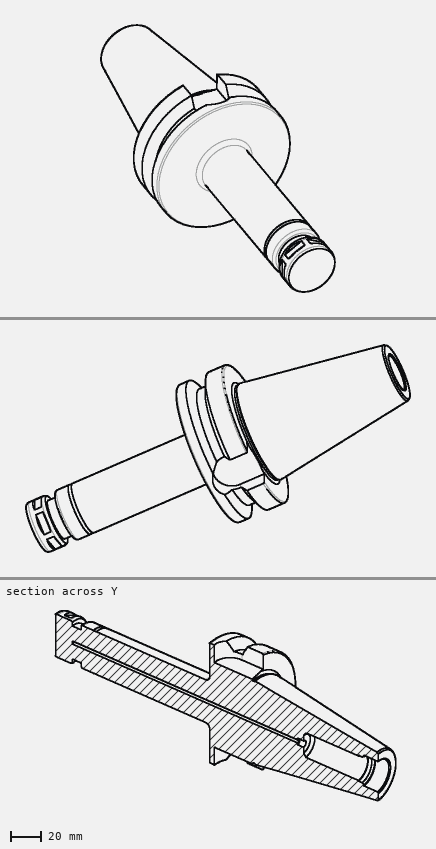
import cadquery as cq


gauge_diameter = 69.85
taper_ratio = 7 / 24
taper_length = 101.8
taper_end_chamfer_length = 1.2
taper_end_chamfer_depth = 0.7
shank_x = -taper_length
shank_end_radius = (gauge_diameter - taper_ratio * taper_length) / 2

relief_radius = 34.3
relief_step_length = 0.6
relief_cone_radius = 36.7
relief_cone_start_x = 2.0

flange_radius = 50.0
flange_front_x = 3.0
flange_back_x = 38.0
flange_edge_fillet = 1.0
vee_radius = 42.2
vee_start_x = 15.9
vee_bottom_start_x = 20.0
vee_bottom_end_x = 26.3
vee_end_x = 30.4

slot_width = 25.7
slot_end_x = 33.7
slot_floor_z = 35.4

bar_radius = 18.0
bar_fillet = 3.0
mark_radius = 17.9
mark_start_x = 131.0
mark_end_x = 133.4
bar_end_x = 143.9
bar_end_fillet = 1.8
neck_radius = 14.0

nut_radius = 18.0
nut_start_x = 150.7
nut_end_x = 165.0
nut_back_round_length = 2.4
nut_back_round_depth = 0.9
nut_front_round_length = 2.2
nut_front_round_depth = 0.7
pocket_count = 6
pocket_margin = 0.1
pocket_start_x = nut_start_x + nut_back_round_length + pocket_margin
pocket_end_x = 159.6
pocket_wall_run = 0.7
pocket_floor_radius = 16.5

mouth_radius = 13.3
mouth_chamfer = 0.8
counterbore_radius = mouth_radius - mouth_chamfer
counterbore_depth = 12.0
ledge_radius = 11.75
entry_radius = 10.5
entry_length = 3.0
bore_radius = 10.0
entry_lead = 1.5
bore_depth = 60.0
bore_cone_depth = 1.8
floor_radius = 7.25
socket_radius = 2.5
socket_depth = 5.0
coolant_radius = 1.0


def revolve_profile(profile):
    """Revolve a closed (x, radius) wire around the X axis."""
    return profile.close().revolve(360, (0, 0, 0), (1, 0, 0))


def tangent_arc_radius(length, depth):
    """Radius of an arc that leaves a cylinder tangentially and drops by depth over length."""
    return (length**2 + depth**2) / (2 * depth)


def make_body():
    """Taper, flange, bar and nut as one turned solid."""
    taper_start_x = shank_x + taper_end_chamfer_length
    nut_back_arc_radius = tangent_arc_radius(nut_back_round_length, nut_back_round_depth)
    nut_front_arc_radius = tangent_arc_radius(nut_front_round_length, nut_front_round_depth)
    flange_rim = flange_radius - flange_edge_fillet
    profile = (
        cq.Workplane("XY")
        .moveTo(shank_x, 0)
        .lineTo(shank_x, shank_end_radius - taper_end_chamfer_depth)
        .lineTo(taper_start_x, gauge_diameter / 2 + taper_start_x * taper_ratio / 2)
        .lineTo(0, gauge_diameter / 2)
        .lineTo(relief_step_length, relief_radius)
        .lineTo(relief_cone_start_x, relief_radius)
        .lineTo(flange_front_x, relief_cone_radius)
        .lineTo(flange_front_x, flange_rim)
        .radiusArc((flange_front_x + flange_edge_fillet, flange_radius), flange_edge_fillet)
        .lineTo(vee_start_x, flange_radius)
        .lineTo(vee_bottom_start_x, vee_radius)
        .lineTo(vee_bottom_end_x, vee_radius)
        .lineTo(vee_end_x, flange_radius)
        .lineTo(flange_back_x - flange_edge_fillet, flange_radius)
        .radiusArc((flange_back_x, flange_rim), flange_edge_fillet)
        .lineTo(flange_back_x, bar_radius + bar_fillet)
        .radiusArc((flange_back_x + bar_fillet, bar_radius), -bar_fillet)
        .lineTo(mark_start_x, bar_radius)
        .lineTo(mark_start_x, mark_radius)
        .lineTo(mark_end_x, mark_radius)
        .lineTo(mark_end_x, bar_radius)
        .lineTo(bar_end_x - bar_end_fillet, bar_radius)
        .radiusArc((bar_end_x, bar_radius - bar_end_fillet), bar_end_fillet)
        .lineTo(bar_end_x, neck_radius)
        .lineTo(nut_start_x, neck_radius)
        .lineTo(nut_start_x, nut_radius - nut_back_round_depth)
        .radiusArc((nut_start_x + nut_back_round_length, nut_radius), nut_back_arc_radius)
        .lineTo(nut_end_x - nut_front_round_length, nut_radius)
        .radiusArc((nut_end_x, nut_radius - nut_front_round_depth), nut_front_arc_radius)
        .lineTo(nut_end_x, 0)
    )
    return revolve_profile(profile)


def make_bore():
    """Stepped blind bore with a coned bottom, opening at the small end."""
    counterbore_end_x = shank_x + counterbore_depth
    entry_start_x = counterbore_end_x + entry_lead
    entry_end_x = entry_start_x + entry_length
    bore_end_x = shank_x + bore_depth
    floor_x = bore_end_x + bore_cone_depth
    socket_end_x = floor_x + socket_depth
    profile = (
        cq.Workplane("XY")
        .moveTo(shank_x, 0)
        .lineTo(shank_x, mouth_radius)
        .lineTo(shank_x + mouth_chamfer, counterbore_radius)
        .lineTo(counterbore_end_x, counterbore_radius)
        .lineTo(counterbore_end_x, ledge_radius)
        .lineTo(entry_start_x, entry_radius)
        .lineTo(entry_end_x, entry_radius)
        .lineTo(entry_end_x, bore_radius)
        .lineTo(bore_end_x, bore_radius)
        .lineTo(floor_x, floor_radius)
        .lineTo(floor_x, socket_radius)
        .lineTo(socket_end_x, socket_radius)
        .lineTo(socket_end_x, coolant_radius)
        .lineTo(nut_start_x, coolant_radius)
        .lineTo(nut_start_x, 0)
    )
    return revolve_profile(profile)


def make_drive_slot():
    """Round-ended slot cutter for the +Z side of the flange."""
    end_radius = slot_width / 2
    straight_end_x = slot_end_x - end_radius
    return (
        cq.Workplane("XY", origin=(0, 0, slot_floor_z))
        .moveTo(0, -end_radius)
        .lineTo(straight_end_x, -end_radius)
        .threePointArc((slot_end_x, 0), (straight_end_x, end_radius))
        .lineTo(0, end_radius)
        .close()
        .extrude(flange_radius)
    )


def make_nut_pocket():
    """Flat-bottomed wrench pocket cutter, with sloping end walls, for the +Y side of the nut."""
    return (
        cq.Workplane("XY")
        .moveTo(pocket_start_x, nut_radius)
        .lineTo(pocket_start_x + pocket_wall_run, pocket_floor_radius)
        .lineTo(pocket_end_x - pocket_wall_run, pocket_floor_radius)
        .lineTo(pocket_end_x, nut_radius)
        .close()
        .extrude(nut_radius, both=True)
    )


result = make_body().cut(make_bore())

for side in range(2):
    result = result.cut(make_drive_slot().rotate((0, 0, 0), (1, 0, 0), side * 180))

for index in range(pocket_count):
    angle = index * 360 / pocket_count
    result = result.cut(make_nut_pocket().rotate((0, 0, 0), (1, 0, 0), angle))